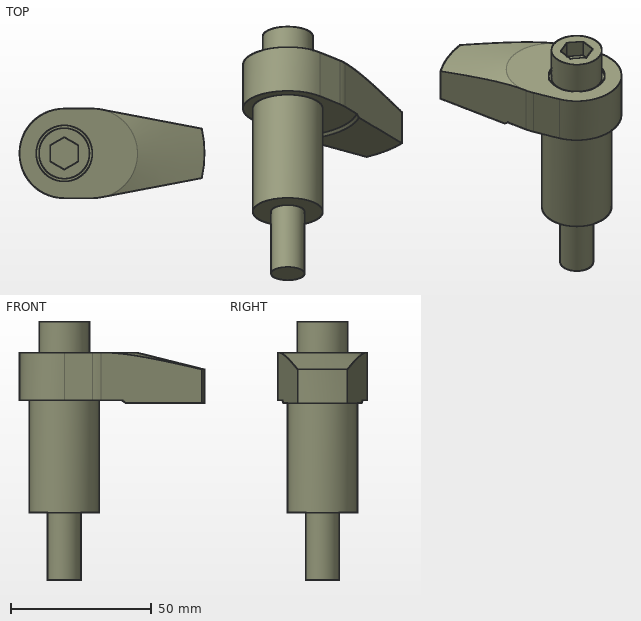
import cadquery as cq
import math


sleeve_bottom = 24.0
lever_bottom = 64.0
lever_top = 81.0
screw_top = 92.0
pad_depth = 1.0
tip_top = 75.0

hub_radius = 16.0
grip_center_x = 10.0
taper_start_x = 13.0
tip_radius = 40.0
pad_inner_radius = 26.0

sleeve_diameter = 25.0
screw_diameter = 12.0
head_diameter = 18.0
head_height = screw_diameter
seat_diameter = 20.0
hex_across_flats = 10.0
hex_depth = 6.0

head_bottom = screw_top - head_height


def cylinder(diameter, bottom, top):
    return cq.Workplane("XY").workplane(offset=bottom).circle(diameter / 2).extrude(top - bottom)


def cone_around_z(center_x, bottom_radius, top_radius, bottom, top):
    cone = cq.Solid.makeCone(bottom_radius, top_radius, top - bottom, cq.Vector(center_x, 0, bottom))
    return cq.Workplane(obj=cone)


def lever_blank():
    """Plan outline of hub and tapered handle, from the pad underside to the lever top."""
    flank_angle = math.asin((taper_start_x - grip_center_x) / hub_radius)
    taper_start_y = hub_radius * math.cos(flank_angle)
    blend_mid_x = grip_center_x + hub_radius * math.sin(flank_angle / 2)
    blend_mid_y = hub_radius * math.cos(flank_angle / 2)

    tangent_length = math.sqrt(tip_radius**2 - hub_radius**2)
    corner_x = taper_start_x + tangent_length * math.cos(flank_angle)
    corner_y = taper_start_y - tangent_length * math.sin(flank_angle)

    underside = lever_bottom - pad_depth
    return (
        cq.Workplane("XY").workplane(offset=underside)
        .moveTo(0, hub_radius)
        .threePointArc((-hub_radius, 0), (0, -hub_radius))
        .lineTo(grip_center_x, -hub_radius)
        .threePointArc((blend_mid_x, -blend_mid_y), (taper_start_x, -taper_start_y))
        .lineTo(corner_x, -corner_y)
        .threePointArc((grip_center_x + tip_radius, 0), (corner_x, corner_y))
        .lineTo(taper_start_x, taper_start_y)
        .threePointArc((blend_mid_x, blend_mid_y), (grip_center_x, hub_radius))
        .close()
        .extrude(lever_top - underside)
    )


def sloped_top_waste():
    """Material above the cone that falls from the flat grip top to the handle tip."""
    slope = (lever_top - tip_top) / (tip_radius - hub_radius)
    overrun = 1.0
    cone_bottom_radius = tip_radius + overrun
    cone_bottom = tip_top - slope * overrun
    cone = cone_around_z(grip_center_x, cone_bottom_radius, hub_radius, cone_bottom, lever_top)
    surround = (
        cq.Workplane("XY").workplane(offset=cone_bottom)
        .center(grip_center_x, 0)
        .circle(cone_bottom_radius)
        .extrude(lever_top - cone_bottom)
    )
    handle_side = cq.Workplane("XY").box(
        cone_bottom_radius, 2 * cone_bottom_radius, lever_top, centered=(False, True, False)
    ).translate((grip_center_x, 0, 0))
    return surround.cut(cone).intersect(handle_side)


def make_lever():
    """Clamp lever with its sleeve, bored and recessed for the screw."""
    hub_relief = cone_around_z(
        0, pad_inner_radius, pad_inner_radius - pad_depth, lever_bottom - pad_depth, lever_bottom
    )
    return (
        lever_blank()
        .cut(sloped_top_waste())
        .cut(hub_relief)
        .union(cylinder(sleeve_diameter, sleeve_bottom, lever_bottom))
        .cut(cylinder(screw_diameter, sleeve_bottom, lever_top))
        .cut(cylinder(seat_diameter, head_bottom, lever_top))
    )


def make_screw():
    """Socket head cap screw with two socket corners along Y."""
    hex_across_corners = hex_across_flats / math.cos(math.pi / 6)
    socket = (
        cq.Workplane("XY").workplane(offset=screw_top - hex_depth)
        .polygon(6, hex_across_corners)
        .extrude(hex_depth)
        .rotate((0, 0, 0), (0, 0, 1), 30)
    )
    return (
        cylinder(screw_diameter, 0, head_bottom)
        .union(cylinder(head_diameter, head_bottom, screw_top))
        .cut(socket)
    )


lever = make_lever()
screw = make_screw()

result = cq.Compound.makeCompound([lever.val(), screw.val()])